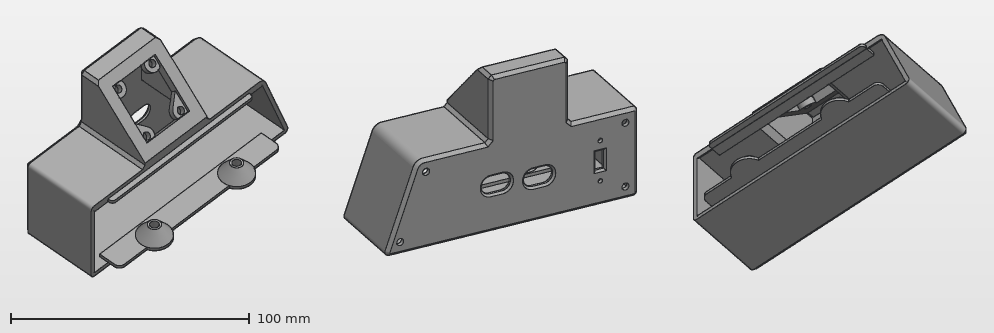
import cadquery as cq
import math

depth = 38.2
half_length = 59.6
total_height = 73.4
base_height = 42.2
wall = 2.0
edge_chamfer = 1.5
corner_radius = 2.0

slant_angle = 20.0
slant_top_radius = 5.0

tower_width = 37.6
tower_y = -8.1
tower_top_depth = 9.8
slope_wall = 4.5

window_x = 23.8
window_length = 28.0
window_width = 25.9
tab_recess = 1.5
tab_radius = 3.9
tab_hole_diameter = 3.5
tab_hole_side = 2.6
tab_hole_upper = 2.5
tab_hole_lower = 2.1
gusset_length = 10.2

screw_diameter = 3.2
screw_right_y = -53.5
screw_positions = [(40.9, 36.1), (53.1, 6.0), (screw_right_y, 36.1), (screw_right_y, 6.0)]
port_length = 13.8
port_height = 8.3
port_centers = [(7.4, 21.9), (-12.6, 20.5)]
opening_chamfer = 1.0
switch_y = -41.6
switch_z = 21.1
switch_width = 3.9
switch_height = 8.8
switch_hole_diameter = 2.0
switch_hole_spacing = 19.1

lip_thickness = 1.5
lip_start_x = 33.4
lip_right_y = -49.3
lower_lip_left_y = 48.6
lower_lip_z = wall
lower_lip_end_x = 44.9
lower_lip_radius = 3.0
upper_lip_left_y = 36.1
upper_lip_z = base_height - wall - lip_thickness
upper_lip_end_x = 40.9
upper_lip_radius = 1.8

post_x = 42.0
post_y_positions = [24.5, -25.3]
post_radius = 8.0
post_top_radius = 3.0
post_top_z = 9.6
post_hole_diameter = 4.0


slant = math.radians(slant_angle)
half_corner = (math.pi / 2 - slant) / 2
slant_bottom_y = half_length + corner_radius / math.tan(half_corner) - corner_radius
slant_top_y = slant_bottom_y - base_height * math.tan(slant)
tower_left_y = tower_y + tower_width / 2
tower_right_y = tower_y - tower_width / 2


def case_outline():
    """Case outline in the YZ plane, before its outer corners are rounded."""
    points = [
        (-half_length, 0),
        (slant_bottom_y, 0),
        (slant_top_y, base_height),
        (tower_left_y + edge_chamfer, base_height),
        (tower_left_y, base_height + edge_chamfer),
        (tower_left_y, total_height - edge_chamfer),
        (tower_left_y - edge_chamfer, total_height),
        (tower_right_y + edge_chamfer, total_height),
        (tower_right_y, total_height - edge_chamfer),
        (tower_right_y, base_height + edge_chamfer),
        (tower_right_y - edge_chamfer, base_height),
        (-half_length, base_height),
    ]
    return cq.Workplane("YZ").polyline(points).close()


def slope_cutter(inset):
    """Everything above the 45 degree slope, moved inward by inset along its normal."""
    shift = inset * math.sqrt(2)
    reach = 2 * total_height
    start_x = tower_top_depth - shift
    end_x = start_x + reach
    points = [(start_x, total_height), (end_x, total_height - reach), (end_x, total_height)]
    return cq.Workplane("XZ").polyline(points).close().extrude(half_length, both=True)


def make_case():
    def round_edge(body, y, z, radius):
        corner = cq.selectors.NearestToPointSelector((depth / 2, y, z))
        return body.edges("|X").edges(corner).fillet(radius)

    body = case_outline().extrude(depth)
    body = round_edge(body, slant_bottom_y, 0, corner_radius)
    body = round_edge(body, slant_top_y, base_height, slant_top_radius)
    body = round_edge(body, -half_length, base_height, corner_radius)
    body = round_edge(body, -half_length, 0, corner_radius)
    body = body.faces("<X").edges().chamfer(edge_chamfer)
    body = body.cut(slope_cutter(0))

    cavity = case_outline().offset2D(-wall, "intersection").extrude(depth)
    cavity = cavity.translate((wall, 0, 0)).cut(slope_cutter(slope_wall))
    return body.cut(cavity)


def slope_plane(inset):
    """Plane parallel to the slope, centred on the window, local x running down the slope."""
    shift = inset / math.sqrt(2)
    window_z = total_height + tower_top_depth - window_x
    origin = (window_x - shift, tower_y, window_z - shift)
    return cq.Workplane(cq.Plane(origin=origin, xDir=(1, 0, -1), normal=(1, 0, 1)))


def cut_window(body):
    window_box = slope_plane(slope_wall).rect(window_length, window_width).extrude(slope_wall)
    body = body.cut(window_box)

    tab_plane = slope_plane(tab_recess)
    tab_depth = -(slope_wall - tab_recess)
    upper_x = -window_length / 2 + tab_hole_upper
    lower_x = window_length / 2 - tab_hole_lower
    side_y = window_width / 2
    hole_y = side_y - tab_hole_side

    gusset_x = window_length / 2 - gusset_length
    run = lower_x - gusset_x
    distance = math.hypot(run, tab_hole_side)
    angle = math.atan2(tab_hole_side, -run) + math.acos(tab_radius / distance)
    tangent = (lower_x + tab_radius * math.cos(angle), hole_y + tab_radius * math.sin(angle))

    for side in (1, -1):
        center_y = side * hole_y
        tab_centers = [(upper_x, center_y), (lower_x, center_y)]
        tabs = tab_plane.pushPoints(tab_centers).circle(tab_radius).extrude(tab_depth)
        gusset_points = [
            (gusset_x, side * side_y),
            (tangent[0], side * tangent[1]),
            (lower_x, center_y),
            (lower_x, side * side_y),
        ]
        gusset = tab_plane.polyline(gusset_points).close().extrude(tab_depth)
        body = body.union(tabs.union(gusset).intersect(window_box))

    hole_centers = [(x, y) for x in (upper_x, lower_x) for y in (hole_y, -hole_y)]
    holes = tab_plane.pushPoints(hole_centers).circle(tab_hole_diameter / 2).extrude(tab_depth)
    return body.cut(holes)


def cut_panel_openings(body):
    panel = cq.Workplane("YZ")
    switch_offset = switch_hole_spacing / 2
    switch_holes = [(switch_y, switch_z + switch_offset), (switch_y, switch_z - switch_offset)]
    body = body.cut(panel.pushPoints(screw_positions).circle(screw_diameter / 2).extrude(wall))
    body = body.cut(panel.pushPoints(switch_holes).circle(switch_hole_diameter / 2).extrude(wall))

    widening = 2 * opening_chamfer
    for y, z in port_centers:
        place = panel.center(y, z)
        port = place.slot2D(port_length, port_height).extrude(wall)
        port_mouth = place.slot2D(port_length + widening, port_height + widening)
        body = body.cut(port).cut(port_mouth.extrude(opening_chamfer, taper=45))

    place = panel.center(switch_y, switch_z)
    switch = place.rect(switch_width, switch_height).extrude(wall)
    switch_mouth = place.rect(switch_width + widening, switch_height + widening)
    return body.cut(switch).cut(switch_mouth.extrude(opening_chamfer, taper=45))


def make_lip(left_y, end_x, bottom_z, radius):
    lip_depth = end_x - lip_start_x
    lip_width = left_y - lip_right_y
    lip = cq.Workplane("XY").box(lip_depth, lip_width, lip_thickness, centered=False)
    lip = lip.edges("|Z and >X").fillet(radius)
    return lip.translate((lip_start_x, lip_right_y, bottom_z))


def make_post(y):
    cone_start_z = lower_lip_z + lip_thickness
    profile = [
        (0, lower_lip_z),
        (post_radius, lower_lip_z),
        (post_radius, cone_start_z),
        (post_top_radius, post_top_z),
        (0, post_top_z),
    ]
    post = cq.Workplane("XZ").polyline(profile).close().revolve(360, (0, 0), (0, 1))
    hole_start = cq.Workplane("XY", origin=(0, 0, cone_start_z))
    hole = hole_start.circle(post_hole_diameter / 2).extrude(post_top_z)
    return post.cut(hole).translate((post_x, y, 0))


result = make_case()
result = cut_window(result)
result = cut_panel_openings(result)
result = result.union(make_lip(lower_lip_left_y, lower_lip_end_x, lower_lip_z, lower_lip_radius))
result = result.union(make_lip(upper_lip_left_y, upper_lip_end_x, upper_lip_z, upper_lip_radius))
for post_y in post_y_positions:
    result = result.union(make_post(post_y))